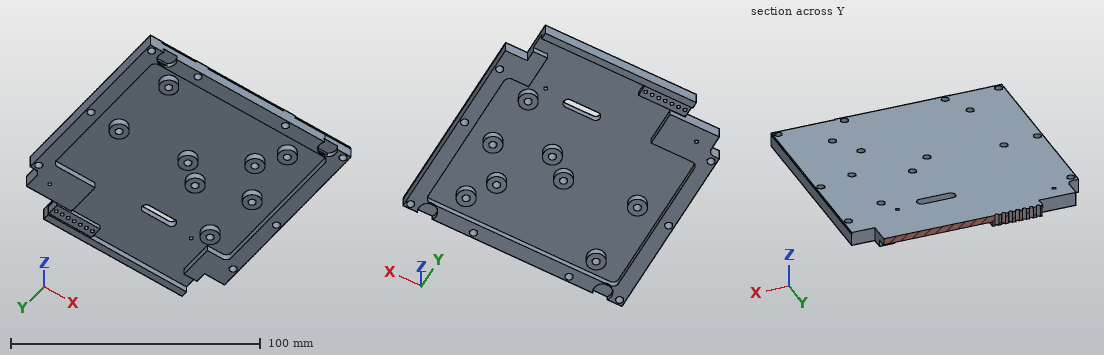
import cadquery as cq

length = 100.0
depth = 100.0
height = 6.0
floor_bottom = 3.0

shoulder_x = 5.0
shoulder_y = 80.8
shoulder_fillet = 2.5
step_y = 90.0
tab_left = 21.0
tab_right = 90.0
tab_right_y = 85.0

wall = 6.5
rear_wall = 3.0
corner_radius = 2.5
boss_diameter = 8.0

screw_diameter = 3.2
edge_offset = 2.3
right_hole_x = length - edge_offset
rim_holes = [
    (edge_offset, edge_offset), (25.4, edge_offset), (69.0, edge_offset), (right_hole_x, edge_offset),
    (edge_offset, 43.0), (edge_offset, 78.1), (right_hole_x, 47.0), (right_hole_x, 76.1),
]
inner_holes = [
    (19.4, 13.9), (79.6, 15.4), (72.0, 26.9), (49.5, 41.5),
    (82.6, 43.0), (17.4, 44.5), (59.0, 49.5), (80.2, 68.0),
]

pin_diameter = 1.5
pin_count = 7
pin_pitch = 3.0
first_pin_x = 23.0
pin_y = 94.2
block_width = 5.6
block_bottom = 0.9
block_top = 5.2
block_setback = 0.3
block_left = tab_left + block_setback
block_right = first_pin_x + (pin_count - 1) * pin_pitch + (first_pin_x - block_left)
small_holes = [(11.9, 83.6), (76.1, 75.1)]

slot_x = 58.5
slot_y = 73.1
slot_length = 16.6
slot_width = 4.0

pocket_diameter = 8.0
pocket_depth = 2.1
pocket_y = 2.3
pocket_inset = 10.0
pocket_flat_y = 5.6
pocket_flat_z = 0.9

relief_z = 5.1
relief_setback = 0.1
corner_setback = 0.3
relief_spans = [
    (5.8, 22.7, relief_setback), (28.6, 66.2, relief_setback), (72.1, length, corner_setback),
]
recess_left = 86.9
recess_setback = 0.1


def box(x0, x1, y0, y1, z0, z1):
    """Axis-aligned box between two opposite corners."""
    return cq.Workplane("XY").box(x1 - x0, y1 - y0, z1 - z0, centered=False).translate((x0, y0, z0))


def cylinders(points, diameter, z0, z1):
    """Vertical cylinders on the given axes."""
    return cq.Workplane("XY").workplane(offset=z0).pushPoints(points).circle(diameter / 2).extrude(z1 - z0)


def make_plate():
    return (
        cq.Workplane("XY")
        .lineTo(length, 0)
        .lineTo(length, tab_right_y)
        .lineTo(tab_right, tab_right_y)
        .lineTo(tab_right, depth)
        .lineTo(tab_left, depth)
        .lineTo(tab_left, step_y)
        .lineTo(shoulder_x, step_y)
        .lineTo(shoulder_x, shoulder_y + shoulder_fillet)
        .radiusArc((shoulder_x - shoulder_fillet, shoulder_y), shoulder_fillet)
        .lineTo(0, shoulder_y)
        .close()
        .extrude(height)
    )


def make_cavity():
    """Open-bottomed cavity that runs out through both sides of the rear tab."""
    rear_y = depth - rear_wall
    main = box(wall, length - wall, wall, shoulder_y - wall, 0, floor_bottom).edges("|Z").fillet(corner_radius)
    neck_front = shoulder_y - 2 * wall
    neck = box(tab_left + wall, tab_right - wall, neck_front, rear_y, 0, floor_bottom)
    tab_channel = box(tab_left, tab_right, step_y, rear_y, 0, floor_bottom)
    bosses = cylinders(inner_holes, boss_diameter, 0, floor_bottom)
    return main.union(neck).union(tab_channel).cut(bosses)


def make_front_pocket(x):
    pocket = cylinders([(x, pocket_y)], pocket_diameter, 0, pocket_depth)
    flat = box(x - pocket_diameter, x + pocket_diameter, pocket_flat_y, pocket_flat_y + pocket_diameter,
               pocket_flat_z, pocket_depth)
    return pocket.cut(flat)


body = make_plate().cut(make_cavity())

block_front = pin_y - block_width / 2
block_back = pin_y + block_width / 2
body = body.cut(box(tab_left, block_left, block_front, block_back, 0, block_top))
body = body.union(box(block_left, block_right, block_front, block_back, block_bottom, block_top))

for x in (pocket_inset, length - pocket_inset):
    body = body.cut(make_front_pocket(x))
for left, right, setback in relief_spans:
    body = body.cut(box(left, right, 0, setback, relief_z, height))
body = body.cut(box(length - relief_setback, length, 0, tab_right_y, relief_z, height))
body = body.cut(box(recess_left, length, 0, recess_setback, 0, relief_z))

pins = [(first_pin_x + i * pin_pitch, pin_y) for i in range(pin_count)]
body = body.cut(cylinders(rim_holes + inner_holes, screw_diameter, 0, height))
body = body.cut(cylinders(pins + small_holes, pin_diameter, 0, height))
slot = cq.Workplane("XY").center(slot_x, slot_y).slot2D(slot_length, slot_width).extrude(height)
result = body.cut(slot)